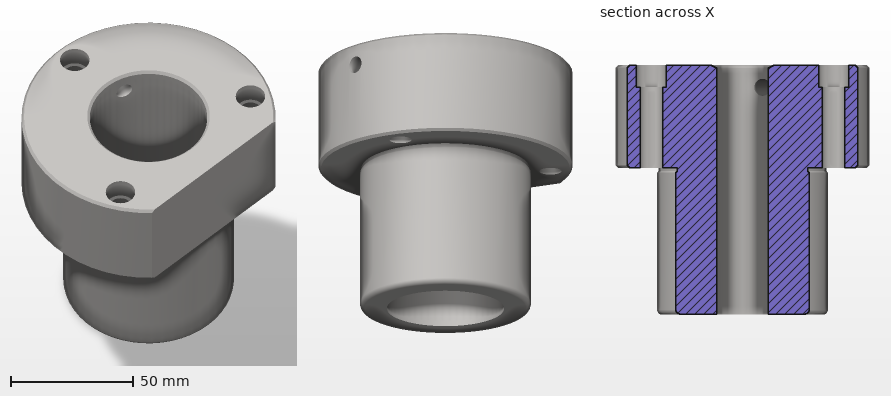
import cadquery as cq
import math

flange_radius = 52.0
flange_height = 42.0
flange_chamfer = 1.0
flat_distance = 38.0

barrel_radius = 34.9
total_height = 102.0
barrel_length = total_height - flange_height
barrel_end_round = 2.0
undercut_depth = 0.5
undercut_height = 1.2
undercut_slope_height = 0.7

bore_radius = 24.0
bore_chamfer = 1.0

hole_count = 3
bolt_circle_radius = 43.0
hole_diameter = 9.0
counterbore_diameter = 12.1
counterbore_depth = 8.8

port_diameter = 7.0
port_drop = 9.0
port_angle = 160.0


def body():
    """Revolved flange and barrel; the flange underside lies at Z = 0."""
    undercut_radius = barrel_radius - undercut_depth
    undercut_bottom = -undercut_height - undercut_slope_height
    arc_inset = barrel_end_round * (1 - math.sqrt(0.5))
    profile = (
        cq.Workplane("XZ")
        .moveTo(bore_radius, -barrel_length)
        .lineTo(barrel_radius - barrel_end_round, -barrel_length)
        .threePointArc(
            (barrel_radius - arc_inset, -barrel_length + arc_inset),
            (barrel_radius, -barrel_length + barrel_end_round),
        )
        .lineTo(barrel_radius, undercut_bottom)
        .lineTo(undercut_radius, -undercut_height)
        .lineTo(undercut_radius, 0)
        .lineTo(flange_radius - flange_chamfer, 0)
        .lineTo(flange_radius, flange_chamfer)
        .lineTo(flange_radius, flange_height - flange_chamfer)
        .lineTo(flange_radius - flange_chamfer, flange_height)
        .lineTo(bore_radius + bore_chamfer, flange_height)
        .lineTo(bore_radius, flange_height - bore_chamfer)
        .close()
    )
    return profile.revolve(360, (0, 0, 0), (0, 1, 0))


def cut_flat(part):
    """Trim the +X side of the flange to a flat face."""
    waste = cq.Workplane("XY").box(
        flange_radius, 2 * flange_radius, flange_height, centered=(False, True, False)
    )
    return part.cut(waste.translate((flat_distance, 0, 0)))


def cut_mounting_holes(part):
    """Counterbored through holes, evenly spaced with one on the -X side."""
    return (
        part.faces(">Z")
        .workplane(origin=(0, 0, flange_height))
        .polarArray(bolt_circle_radius, 180, 360, hole_count)
        .cboreHole(hole_diameter, counterbore_diameter, counterbore_depth, depth=flange_height)
    )


def cut_port(part):
    """Radial hole that starts on the bore axis and leaves through the rim."""
    angle = math.radians(port_angle)
    axis = cq.Vector(math.cos(angle), math.sin(angle), 0)
    start = cq.Vector(0, 0, flange_height - port_drop)
    drill = cq.Solid.makeCylinder(port_diameter / 2, 2 * flange_radius, start, axis)
    return part.cut(cq.Workplane(drill))


result = cut_port(cut_mounting_holes(cut_flat(body())))